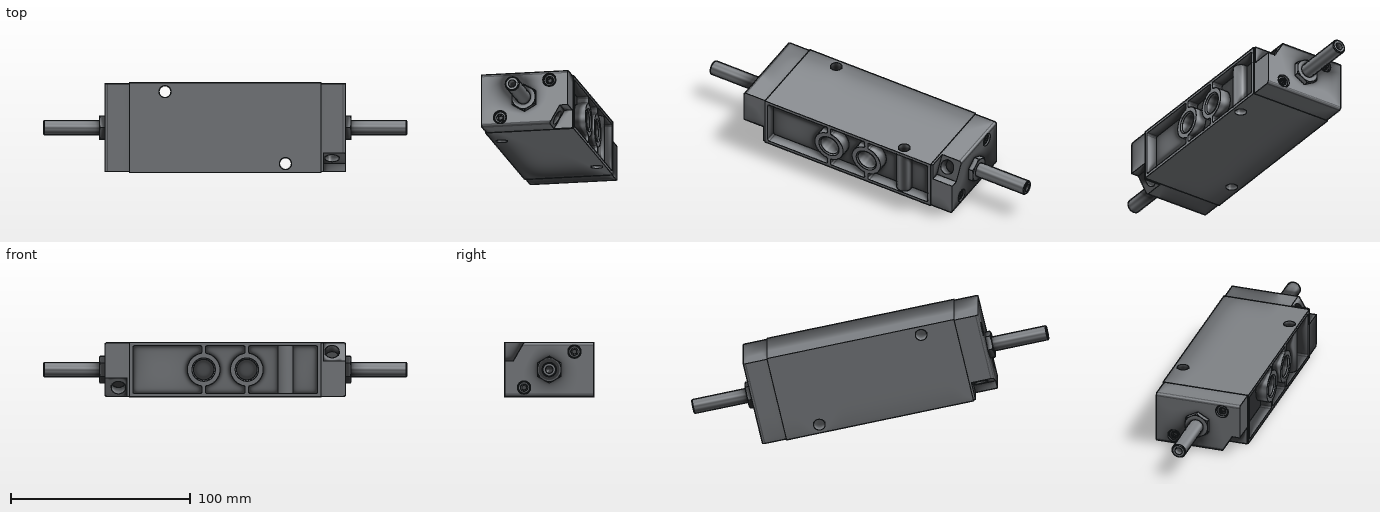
import cadquery as cq
import math

BODY_LENGTH = 106.6
BODY_WIDTH = 50.0
BODY_HEIGHT = 30.4
MOUNT_HOLE_DIAMETER = 6.5
MOUNT_HOLE_X = 33.5
MOUNT_HOLE_Y = 20.0

POCKET_WALL = 1.9
POCKET_DEPTH = 6.5
PORT_X = 12.0
PORT_BOSS_DIAMETER = 18.24
PORT_BORE_DIAMETER = 11.45
PORT_MOUTH_DIAMETER = 13.0
PORT_BORE_DEPTH = 12.0
RIB_WIDTH = 2.0
POCKET_CORNER_FILLET = 1.0
SLEEVE_DIAMETER = 8.5

CAP_LENGTH = 13.7
CAP_WIDTH = 49.0
CAP_HEIGHT = 30.0
CAP_EDGE_FILLET = 1.4

NOTCH_HEIGHT = 10.4
NOTCH_LEDGE_Y = -20.0
NOTCH_SLANT_ANGLE = 60.0
NOTCH_FLANGE = 1.2
PILOT_DIAMETER = 8.0
PILOT_DEPTH = 7.0
PILOT_X = 59.4

SCREW_Y = 14.0
SCREW_Z = 10.0
SCREW_RECESS_DIAMETER = 7.4
SCREW_RECESS_DEPTH = 4.0
SCREW_HEAD_DIAMETER = 7.0
SCREW_HEAD_CHAMFER = 0.4
SCREW_HEAD_SETBACK = 1.0
SCREW_SOCKET_FLATS = 2.5
SCREW_SOCKET_DEPTH = 2.0
SCREW_SOCKET_MOUTH_DIAMETER = 4.13
SCREW_SOCKET_MOUTH_DEPTH = 0.8

NUT_FLATS = 13.0
NUT_THICKNESS = 3.0
NUT_FACE_DIAMETER = 13.3
NUT_CHAMFER_ANGLE = 30.0
STEM_DIAMETER = 8.0
STEM_END_X = 101.0
STEM_CHAMFER = 0.5
STEM_BORE_DIAMETER = 4.13
STEM_BORE_DEPTH = 12.0
DRILL_POINT_ANGLE = 118.0

HEX_HALF_ANGLE = 180.0 / 6

BODY_END_X = BODY_LENGTH / 2
BODY_FRONT_Y = -BODY_WIDTH / 2
BODY_TOP_Z = BODY_HEIGHT / 2
CAP_END_X = BODY_END_X + CAP_LENGTH
NUT_END_X = CAP_END_X + NUT_THICKNESS
POCKET_FLOOR_Y = BODY_FRONT_Y + POCKET_DEPTH
POCKET_HEIGHT = BODY_HEIGHT - 2 * POCKET_WALL


def cylinder_x(diameter, start_x, end_x, y=0, z=0):
    """Cylinder along X between two stations."""
    section = cq.Workplane("YZ", origin=(start_x, y, z)).circle(diameter / 2)
    return section.extrude(end_x - start_x)


def hexagon_x(across_flats, start_x, end_x, y=0, z=0):
    """Hexagonal prism along X with two flats facing +Y and -Y."""
    across_corners = across_flats / math.cos(math.radians(HEX_HALF_ANGLE))
    section = cq.Workplane("YZ", origin=(start_x, y, z)).transformed(rotate=(0, 0, HEX_HALF_ANGLE))
    return section.polygon(6, across_corners).extrude(end_x - start_x)


def port_bosses_and_ribs():
    """Two round port bosses and the ribs tying them to the pocket walls."""
    front = cq.Workplane("XZ", origin=(0, POCKET_FLOOR_Y, 0))
    front = front.pushPoints([(-PORT_X, 0), (PORT_X, 0)])
    bosses = front.circle(PORT_BOSS_DIAMETER / 2).extrude(POCKET_DEPTH)
    ribs = front.rect(RIB_WIDTH, POCKET_HEIGHT).extrude(POCKET_DEPTH)
    return bosses.union(ribs)


def pocket_space():
    """Hollow of the front pocket around the bosses, with rounded corners."""
    front = cq.Workplane("XZ", origin=(0, POCKET_FLOOR_Y, 0))
    space = front.rect(BODY_LENGTH - 2 * POCKET_WALL, POCKET_HEIGHT).extrude(POCKET_DEPTH)
    space = space.edges("|Y").fillet(POCKET_CORNER_FILLET)
    space = space.cut(port_bosses_and_ribs())

    for port_x in (-PORT_X, PORT_X):
        around_ribs = cq.selectors.BoxSelector(
            (port_x - RIB_WIDTH, BODY_FRONT_Y, -BODY_TOP_Z),
            (port_x + RIB_WIDTH, POCKET_FLOOR_Y, BODY_TOP_Z),
        )
        space = space.edges("|Y").edges(around_ribs).fillet(POCKET_CORNER_FILLET)
    return space


def make_body():
    """Rectangular body with the pocketed port face and two mounting holes."""
    body = cq.Workplane("XY").box(BODY_LENGTH, BODY_WIDTH, BODY_HEIGHT)
    body = body.cut(pocket_space())

    sleeve_base = cq.Workplane("XY", origin=(MOUNT_HOLE_X, -MOUNT_HOLE_Y, -BODY_TOP_Z))
    body = body.union(sleeve_base.circle(SLEEVE_DIAMETER / 2).extrude(BODY_HEIGHT))

    holes = (
        cq.Workplane("XY", origin=(0, 0, -BODY_TOP_Z))
        .pushPoints([(MOUNT_HOLE_X, -MOUNT_HOLE_Y), (-MOUNT_HOLE_X, MOUNT_HOLE_Y)])
        .circle(MOUNT_HOLE_DIAMETER / 2)
        .extrude(BODY_HEIGHT)
    )
    body = body.cut(holes)

    for port_x in (-PORT_X, PORT_X):
        body = body.cut(port_bore(port_x))
    return body


def port_bore(port_x):
    """Blind bore along Y with a 45 degree countersunk mouth."""
    bore_radius = PORT_BORE_DIAMETER / 2
    mouth_radius = PORT_MOUTH_DIAMETER / 2
    profile = [
        (0, 0),
        (mouth_radius, 0),
        (bore_radius, mouth_radius - bore_radius),
        (bore_radius, PORT_BORE_DEPTH),
        (0, PORT_BORE_DEPTH),
    ]
    half_section = cq.Workplane("XY", origin=(port_x, BODY_FRONT_Y, 0)).polyline(profile).close()
    return half_section.revolve(360, (0, 0), (0, 1))


def cut_notch(cap):
    """Cut the upper front corner notch and drill the pilot port square to its slant."""
    slant = math.radians(NOTCH_SLANT_ANGLE)
    slant_run = NOTCH_HEIGHT / math.tan(slant)
    ledge_z = BODY_TOP_Z - NOTCH_HEIGHT
    outline = [
        (BODY_FRONT_Y, ledge_z),
        (NOTCH_LEDGE_Y, ledge_z),
        (NOTCH_LEDGE_Y + slant_run, BODY_TOP_Z),
        (BODY_FRONT_Y, BODY_TOP_Z),
    ]
    notch_start_x = BODY_END_X + NOTCH_FLANGE
    notch = cq.Workplane("YZ", origin=(notch_start_x, 0, 0)).polyline(outline).close()
    cap = cap.cut(notch.extrude(CAP_END_X - notch_start_x))

    slant_middle = (PILOT_X, NOTCH_LEDGE_Y + slant_run / 2, BODY_TOP_Z - NOTCH_HEIGHT / 2)
    inward = (0, math.sin(slant), -math.cos(slant))
    slant_plane = cq.Plane(origin=slant_middle, xDir=(1, 0, 0), normal=inward)
    return cap.cut(cq.Workplane(slant_plane).circle(PILOT_DIAMETER / 2).extrude(PILOT_DEPTH))


def add_screw(cap, y, z):
    """Sink a socket head screw into a round recess in the cap end face."""
    recess_floor_x = CAP_END_X - SCREW_RECESS_DEPTH
    head_end_x = CAP_END_X - SCREW_HEAD_SETBACK
    socket_floor_x = head_end_x - SCREW_SOCKET_DEPTH
    recess = cylinder_x(SCREW_RECESS_DIAMETER, recess_floor_x, CAP_END_X, y, z)
    head = cylinder_x(SCREW_HEAD_DIAMETER, recess_floor_x, head_end_x, y, z)
    head = head.faces(">X").chamfer(SCREW_HEAD_CHAMFER)
    mouth = cylinder_x(SCREW_SOCKET_MOUTH_DIAMETER, head_end_x - SCREW_SOCKET_MOUTH_DEPTH, head_end_x, y, z)
    socket = hexagon_x(SCREW_SOCKET_FLATS, socket_floor_x, head_end_x, y, z)
    return cap.cut(recess).union(head.cut(mouth).cut(socket))


def make_nut():
    """Hexagonal nut whose outer corners are turned to a shallow chamfer."""
    nut = hexagon_x(NUT_FLATS, CAP_END_X, NUT_END_X)
    face_radius = NUT_FACE_DIAMETER / 2
    cone_growth = NUT_THICKNESS / math.tan(math.radians(NUT_CHAMFER_ANGLE))
    cone = (
        cq.Workplane("YZ", origin=(NUT_END_X, 0, 0))
        .circle(face_radius)
        .workplane(offset=-NUT_THICKNESS)
        .circle(face_radius + cone_growth)
        .loft(ruled=True)
    )
    return nut.intersect(cone)


def make_stem():
    """Round stem with a chamfered tip and a drilled end bore with a conical floor."""
    stem = cylinder_x(STEM_DIAMETER, CAP_END_X, STEM_END_X).faces(">X").chamfer(STEM_CHAMFER)
    bore_radius = STEM_BORE_DIAMETER / 2
    bore_floor_x = STEM_END_X - STEM_BORE_DEPTH
    point_length = bore_radius / math.tan(math.radians(DRILL_POINT_ANGLE / 2))
    profile = [
        (STEM_END_X, 0),
        (STEM_END_X, bore_radius),
        (bore_floor_x, bore_radius),
        (bore_floor_x - point_length, 0),
    ]
    bore = cq.Workplane("XY").polyline(profile).close().revolve(360, (0, 0), (1, 0))
    return stem.cut(bore)


def make_end():
    """Complete +X end: cap with notch and screws, nut and stem."""
    cap = cq.Workplane("XY").box(CAP_LENGTH, CAP_WIDTH, CAP_HEIGHT)
    cap = cap.translate((BODY_END_X + CAP_LENGTH / 2, 0, 0))
    cap = cap.faces(">X").edges("|Y").fillet(CAP_EDGE_FILLET)
    cap = cut_notch(cap)
    for side in (-1, 1):
        cap = add_screw(cap, side * SCREW_Y, side * SCREW_Z)
    return cap.union(make_nut()).union(make_stem())


right_end = make_end()
left_end = right_end.rotate((0, 0, 0), (0, 1, 0), 180)
result = make_body().union(right_end).union(left_end)